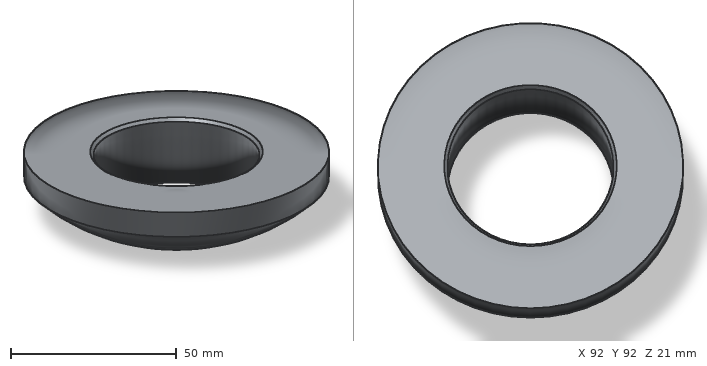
import cadquery as cq
import math

outer_diameter = 92.0
bore_diameter = 50.0
height = 21.0
rim_height = 8.0
sphere_radius = 67.0
bore_chamfer = 1.0

outer_radius = outer_diameter / 2
bore_radius = bore_diameter / 2
chamfer_radius = bore_radius + bore_chamfer
seat_height = height - rim_height

sphere_center_z = seat_height + math.sqrt(sphere_radius**2 - outer_radius**2)


def seat_radius(z):
    """Return the radius of the spherical seat at height z."""
    return math.sqrt(sphere_radius**2 - (sphere_center_z - z) ** 2)


def washer():
    """Revolve the half section on the -X side about the Z axis."""
    middle_z = seat_height / 2
    half_section = (
        cq.Workplane("XZ")
        .moveTo(-bore_radius, 0)
        .lineTo(-seat_radius(0), 0)
        .threePointArc((-seat_radius(middle_z), middle_z), (-outer_radius, seat_height))
        .lineTo(-outer_radius, height)
        .lineTo(-chamfer_radius, height)
        .lineTo(-bore_radius, height - bore_chamfer)
        .close()
    )
    return half_section.revolve(360, (0, 0, 0), (0, 1, 0))


result = washer()